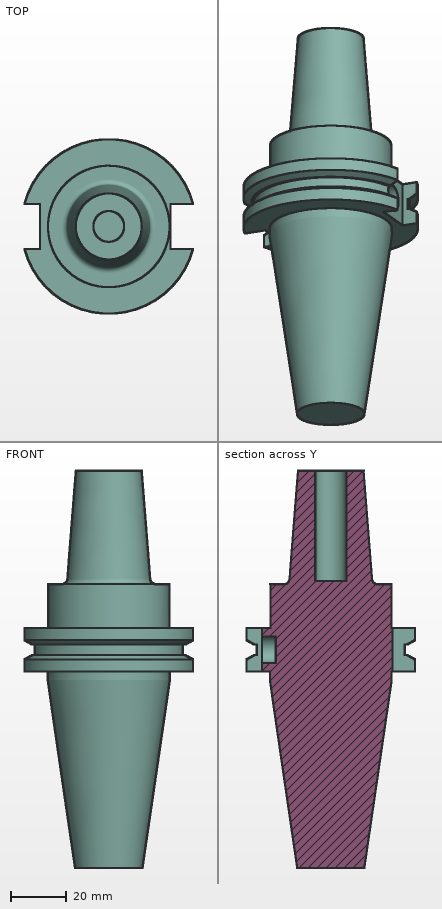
import cadquery as cq
import math


GAUGE_DIA = 44.45
TAPER_LENGTH = 68.25
TAPER_RATIO = 7 / 24

FLANGE_DIA = 63.5
FLANGE_BOTTOM = 3.175
FLANGE_TOP = 19.05

GROOVE_FLOOR_DIA = 56.36
GROOVE_FLANK_DIA = 57.8
GROOVE_FLOOR_WIDTH = 3.7
GROOVE_FLANK_ANGLE = 30

BODY_DIA = 44.2
BODY_TOP = 35.0

NOSE_TOP = 76.2
NOSE_TIP_DIA = 24.0
NOSE_HALF_ANGLE = 4.5
NOSE_FILLET = 2.0

BORE_DIA = 11.2
BORE_DEPTH = 40.0

SLOT_WIDTH = 16.28
SLOT_FLOOR_LEFT = 25.0
SLOT_FLOOR_RIGHT = 22.5

DIMPLE_DIA = 9.5
DIMPLE_DEPTH = 5.0

gauge_radius = GAUGE_DIA / 2
taper_end_radius = gauge_radius - TAPER_LENGTH * TAPER_RATIO / 2
flange_radius = FLANGE_DIA / 2
flange_height = FLANGE_TOP - FLANGE_BOTTOM
flange_middle = (FLANGE_TOP + FLANGE_BOTTOM) / 2
nose_tip_radius = NOSE_TIP_DIA / 2
nose_length = NOSE_TOP - BODY_TOP
nose_root_radius = nose_tip_radius + nose_length * math.tan(math.radians(NOSE_HALF_ANGLE))


def revolve_outline(points):
    """Revolve a closed (radius, z) outline a full turn about the Z axis."""
    return cq.Workplane("XZ").polyline(points).close().revolve(360, (0, 0, 0), (0, 1, 0))


def make_turned_body():
    """Taper shank, short collar, flange, cylindrical body and conical nose."""
    body_radius = BODY_DIA / 2
    body = revolve_outline([
        (0, -TAPER_LENGTH),
        (taper_end_radius, -TAPER_LENGTH),
        (gauge_radius, 0),
        (gauge_radius, FLANGE_BOTTOM),
        (flange_radius, FLANGE_BOTTOM),
        (flange_radius, FLANGE_TOP),
        (body_radius, FLANGE_TOP),
        (body_radius, BODY_TOP),
        (nose_root_radius, BODY_TOP),
        (nose_tip_radius, NOSE_TOP),
        (0, NOSE_TOP),
    ])
    shoulder = body.faces("%PLANE").faces(">Z[-2]")
    nose_root_edge = shoulder.edges(cq.selectors.RadiusNthSelector(0))
    return nose_root_edge.fillet(NOSE_FILLET)


def make_groove():
    """Ring that cuts the tool-changer groove: sloped flanks down to a square floor channel."""
    floor_radius = GROOVE_FLOOR_DIA / 2
    flank_radius = GROOVE_FLANK_DIA / 2
    half_floor = GROOVE_FLOOR_WIDTH / 2
    flank_rise = (flange_radius - flank_radius) * math.tan(math.radians(GROOVE_FLANK_ANGLE))
    half_mouth = half_floor + flank_rise
    return revolve_outline([
        (floor_radius, flange_middle - half_floor),
        (flank_radius, flange_middle - half_floor),
        (flange_radius, flange_middle - half_mouth),
        (flange_radius, flange_middle + half_mouth),
        (flank_radius, flange_middle + half_floor),
        (floor_radius, flange_middle + half_floor),
    ])


def make_drive_slot(floor_distance, side):
    """Drive-key slot through the flange; side is -1 for -X and +1 for +X."""
    depth = flange_radius - floor_distance
    middle_x = side * (floor_distance + depth / 2)
    return cq.Workplane("XY").box(depth, SLOT_WIDTH, flange_height).translate((middle_x, 0, flange_middle))


def make_dimple():
    """Blind round hole in the floor of the -X drive slot."""
    floor = cq.Workplane("YZ", origin=(-SLOT_FLOOR_LEFT, 0, flange_middle))
    return floor.circle(DIMPLE_DIA / 2).extrude(DIMPLE_DEPTH)


def make_bore():
    """Blind tool bore from the nose tip."""
    return cq.Workplane("XY", origin=(0, 0, NOSE_TOP)).circle(BORE_DIA / 2).extrude(-BORE_DEPTH)


result = (
    make_turned_body()
    .cut(make_groove())
    .cut(make_drive_slot(SLOT_FLOOR_LEFT, -1))
    .cut(make_drive_slot(SLOT_FLOOR_RIGHT, 1))
    .cut(make_dimple())
    .cut(make_bore())
)